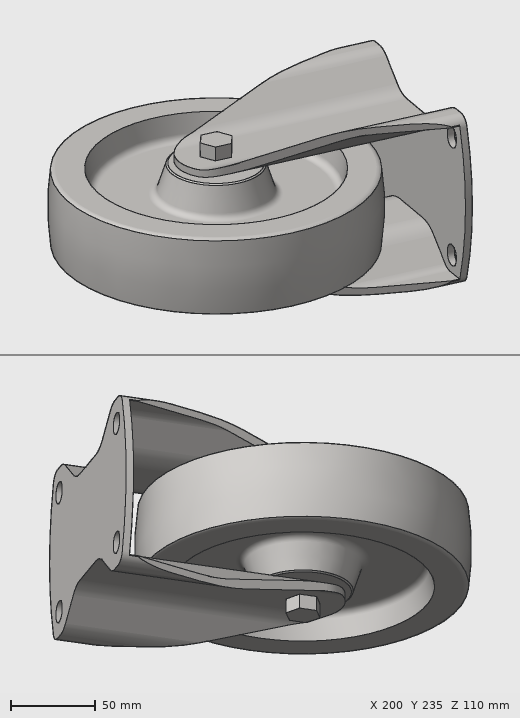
import cadquery as cq
import math


WHEEL_RADIUS = 100.0
WHEEL_WIDTH = 50.0
TREAD_EDGE_RADIUS = 98.3
RIM_ROUND_RADIUS = 4.4
SIDE_FACE_RADIUS = 95.5
RECESS_MOUTH_RADIUS = 78.0
RECESS_DRAFT = 10.0
RECESS_FILLET = 5.0
WEB_THICKNESS = 16.0
HUB_LENGTH = 57.0
HUB_TOP_RADIUS = 29.5
HUB_DRAFT = 18.0
HUB_FILLET = 5.0
HUB_CHAMFER = 0.8

AXLE_DIAMETER = 20.0
BOLT_ACROSS_FLATS = 18.5
HEX_SIDES = 6
HEX_HALF_ANGLE = 180 / HEX_SIDES
BOLT_HEAD_END = 43.8

SHEET = 4.7
PLATE_BACK_Y = 135.0
BRACKET_HALF_HEIGHT = 55.0
LEG_INNER_Z = 30.0
LEG_FLAT_HALF_WIDTH = 14.4
VALLEY_RADIUS = 18.4
CREST_RADIUS = 13.6
BEND_ANGLE = 41.0
BRACKET_HALF_WIDTH = 63.3
CORNER_RADIUS = 8.0
LEG_TIP_RADIUS = 25.0
LEG_TOP_HALF_WIDTH = 62.3
LEG_TAPER = 16.2
PLATE_HALF_WIDTH = 70.0
PLATE_SIDE_END_Z = 49.3

SLOT_WIDTH = 11.0
SLOT_LENGTH = 13.5
SLOT_X = 52.4
SLOT_Z = 38.75


def sin_deg(angle):
    return math.sin(math.radians(angle))


def cos_deg(angle):
    return math.cos(math.radians(angle))


def tan_deg(angle):
    return math.tan(math.radians(angle))


def arc_point(center, radius, angle):
    """Point on a circle, with the angle in degrees."""
    return (center[0] + radius * cos_deg(angle), center[1] + radius * sin_deg(angle))


def revolve_about_z(profile):
    return profile.close().revolve(360, (0, 0, 0), (0, 1, 0))


def make_wheel():
    half_width = WHEEL_WIDTH / 2
    round_center = (SIDE_FACE_RADIUS, half_width - RIM_ROUND_RADIUS)
    round_end_angle = math.degrees(math.acos((TREAD_EDGE_RADIUS - SIDE_FACE_RADIUS) / RIM_ROUND_RADIUS))
    tread_edge = arc_point(round_center, RIM_ROUND_RADIUS, round_end_angle)
    round_middle = arc_point(round_center, RIM_ROUND_RADIUS, (90 + round_end_angle) / 2)
    blank = revolve_about_z(
        cq.Workplane("XZ")
        .moveTo(0, -half_width)
        .lineTo(SIDE_FACE_RADIUS, -half_width)
        .threePointArc((round_middle[0], -round_middle[1]), (tread_edge[0], -tread_edge[1]))
        .threePointArc((WHEEL_RADIUS, 0), tread_edge)
        .threePointArc(round_middle, (SIDE_FACE_RADIUS, half_width))
        .lineTo(0, half_width)
    )
    recess = make_recess()
    hub = make_hub()
    wheel = blank.cut(recess).cut(recess.mirror("XY"))
    return wheel.union(hub).union(hub.mirror("XY"))


def make_recess():
    """Drafted dish with a rounded floor edge, above the web."""
    floor = WEB_THICKNESS / 2
    mouth = WHEEL_WIDTH / 2
    floor_radius = RECESS_MOUTH_RADIUS - (mouth - floor) * tan_deg(RECESS_DRAFT)
    dish = revolve_about_z(
        cq.Workplane("XZ")
        .moveTo(0, floor)
        .lineTo(floor_radius, floor)
        .lineTo(RECESS_MOUTH_RADIUS, mouth)
        .lineTo(0, mouth)
    )
    return dish.faces("<Z").edges().fillet(RECESS_FILLET)


def make_hub():
    """Upper conical half hub with a flared foot on the web and a chamfered top edge."""
    floor = WEB_THICKNESS / 2
    top = HUB_LENGTH / 2
    foot_radius = HUB_TOP_RADIUS + (top - floor) * tan_deg(HUB_DRAFT)
    tangent_length = HUB_FILLET * tan_deg((90 - HUB_DRAFT) / 2)
    arc_center = (foot_radius + tangent_length, floor + HUB_FILLET)
    flare_top = arc_point(arc_center, HUB_FILLET, 180 + HUB_DRAFT)
    flare_middle = arc_point(arc_center, HUB_FILLET, (180 + HUB_DRAFT + 270) / 2)
    return revolve_about_z(
        cq.Workplane("XZ")
        .lineTo(arc_center[0], 0)
        .lineTo(arc_center[0], floor)
        .threePointArc(flare_middle, flare_top)
        .lineTo(HUB_TOP_RADIUS + HUB_CHAMFER * tan_deg(HUB_DRAFT), top - HUB_CHAMFER)
        .lineTo(HUB_TOP_RADIUS - HUB_CHAMFER, top)
        .lineTo(0, top)
    )


def make_axle():
    """Axle pin through both legs, with a hexagon head at each end."""
    leg_outer_z = LEG_INNER_Z + SHEET
    pin = cq.Workplane("XY").circle(AXLE_DIAMETER / 2).extrude(leg_outer_z, both=True)
    head = (
        cq.Workplane("XY")
        .workplane(offset=leg_outer_z)
        .polygon(HEX_SIDES, BOLT_ACROSS_FLATS / cos_deg(HEX_HALF_ANGLE))
        .extrude(BOLT_HEAD_END - leg_outer_z)
        .rotate((0, 0, 0), (0, 0, 1), HEX_HALF_ANGLE)
    )
    return pin.union(head).union(head.mirror("XY"))


def bend_points(offset):
    """Right-hand bend of the leg, on the face `offset` inside the outer face.

    Returns valley start, valley middle, slope start, slope end, crest middle, crest end.
    """
    valley_radius = VALLEY_RADIUS + offset
    crest_radius = CREST_RADIUS - offset
    leg_outer_z = LEG_INNER_Z + SHEET
    arc_rise = (VALLEY_RADIUS + CREST_RADIUS) * (1 - cos_deg(BEND_ANGLE))
    slope_rise = BRACKET_HALF_HEIGHT - leg_outer_z - arc_rise
    slope_run = slope_rise / tan_deg(BEND_ANGLE)
    arc_run = (VALLEY_RADIUS + CREST_RADIUS) * sin_deg(BEND_ANGLE)

    valley_center = (LEG_FLAT_HALF_WIDTH, leg_outer_z + VALLEY_RADIUS)
    crest_center = (
        LEG_FLAT_HALF_WIDTH + arc_run + slope_run,
        BRACKET_HALF_HEIGHT - CREST_RADIUS,
    )
    return [
        arc_point(valley_center, valley_radius, -90),
        arc_point(valley_center, valley_radius, -90 + BEND_ANGLE / 2),
        arc_point(valley_center, valley_radius, -90 + BEND_ANGLE),
        arc_point(crest_center, crest_radius, 90 + BEND_ANGLE),
        arc_point(crest_center, crest_radius, 90 + BEND_ANGLE / 2),
        arc_point(crest_center, crest_radius, 90),
    ]


def corner_points(end_z):
    """Rounded outer corner from the flat crest down to the height `end_z`."""
    center = (BRACKET_HALF_WIDTH - CORNER_RADIUS, BRACKET_HALF_HEIGHT - CORNER_RADIUS)
    end_angle = math.degrees(math.asin((end_z - center[1]) / CORNER_RADIUS))
    return [
        arc_point(center, CORNER_RADIUS, 90),
        arc_point(center, CORNER_RADIUS, (90 + end_angle) / 2),
        arc_point(center, CORNER_RADIUS, end_angle),
    ]


def draw_outer_face(profile, end_z):
    """Append the outer face of the right half of a leg, from the centre to the corner end."""
    valley_start, valley_mid, slope_start, slope_end, crest_mid, crest_end = bend_points(0)
    corner_start, corner_mid, corner_end = corner_points(end_z)
    return (
        profile.lineTo(*valley_start)
        .threePointArc(valley_mid, slope_start)
        .lineTo(*slope_end)
        .threePointArc(crest_mid, crest_end)
        .lineTo(*corner_start)
        .threePointArc(corner_mid, corner_end)
    )


def make_leg():
    """Upper leg: a bent sheet running along Y, trimmed to a tapered tongue."""
    valley_start, valley_mid, slope_start, slope_end, crest_mid, crest_end = bend_points(SHEET)
    profile = cq.Workplane("XZ", origin=(0, PLATE_BACK_Y, 0)).moveTo(0, LEG_INNER_Z + SHEET)
    half_sheet = (
        draw_outer_face(profile, BRACKET_HALF_HEIGHT - SHEET)
        .lineTo(*crest_end)
        .threePointArc(crest_mid, slope_end)
        .lineTo(*slope_start)
        .threePointArc(valley_mid, valley_start)
        .lineTo(0, LEG_INNER_Z)
        .close()
        .extrude(PLATE_BACK_Y + LEG_TIP_RADIUS)
    )
    sheet = half_sheet.union(half_sheet.mirror("YZ"))

    tangent_x, tangent_y = arc_point((0, 0), LEG_TIP_RADIUS, -LEG_TAPER)
    taper_end_y = tangent_y + (LEG_TOP_HALF_WIDTH - tangent_x) / tan_deg(LEG_TAPER)
    tongue = (
        cq.Workplane("XY")
        .moveTo(tangent_x, tangent_y)
        .lineTo(LEG_TOP_HALF_WIDTH, taper_end_y)
        .lineTo(LEG_TOP_HALF_WIDTH, PLATE_BACK_Y)
        .lineTo(-LEG_TOP_HALF_WIDTH, PLATE_BACK_Y)
        .lineTo(-LEG_TOP_HALF_WIDTH, taper_end_y)
        .lineTo(-tangent_x, tangent_y)
        .threePointArc((0, -LEG_TIP_RADIUS), (tangent_x, tangent_y))
        .close()
        .extrude(BRACKET_HALF_HEIGHT)
    )
    return sheet.intersect(tongue)


def make_plate():
    """Mounting plate: follows the legs above and below, with bowed sides and four slots."""
    profile = cq.Workplane("XZ", origin=(0, PLATE_BACK_Y, 0)).moveTo(0, 0)
    bow_end = corner_points(PLATE_SIDE_END_Z)[-1]
    bow_depth = PLATE_HALF_WIDTH - bow_end[0]
    bow_radius = (PLATE_SIDE_END_Z**2 + bow_depth**2) / (2 * bow_depth)
    bow_angle = math.degrees(math.asin(PLATE_SIDE_END_Z / bow_radius))
    bow_center = (PLATE_HALF_WIDTH - bow_radius, 0)
    quarter = (
        draw_outer_face(profile.lineTo(0, LEG_INNER_Z + SHEET), PLATE_SIDE_END_Z)
        .threePointArc(arc_point(bow_center, bow_radius, bow_angle / 2), (PLATE_HALF_WIDTH, 0))
        .close()
        .extrude(SHEET)
    )
    half = quarter.union(quarter.mirror("YZ"))
    slot_centers = [(x, z) for x in (-SLOT_X, SLOT_X) for z in (-SLOT_Z, SLOT_Z)]
    slots = (
        cq.Workplane("XZ", origin=(0, PLATE_BACK_Y, 0))
        .pushPoints(slot_centers)
        .slot2D(SLOT_LENGTH, SLOT_WIDTH, 90)
        .extrude(SHEET)
    )
    return half.union(half.mirror("XY")).cut(slots)


def make_bracket():
    leg = make_leg()
    return make_plate().union(leg).union(leg.mirror("XY"))


result = make_bracket().union(make_axle()).union(make_wheel())